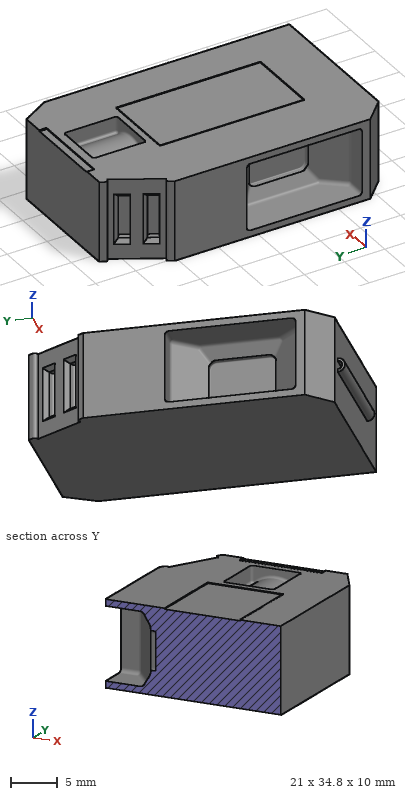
import cadquery as cq
import math

width = 21.0
thickness = 10.0
total_length = 34.8
rib_outer_radius = 0.8
length = total_length - rib_outer_radius
top_z = thickness / 2

front_chamfer = 2.6
slope_angle = math.radians(30)
left_slope_width = 4.05
right_slope_width = 2.0
left_slope_length = left_slope_width / math.sin(slope_angle)

blend = 0.3

lip_width = 0.9
panel_depth = 0.52

slot_starts = (1.55, 4.7)
slot_length = 1.77
slot_height = 6.25
slot_bevel = 0.5
slot_bevel_angle = 45
slot_depth = 1.22

window_front = 3.62
window_length = 14.4
window_height = 8.35
window_blend = 0.5
window_end_depth = 2.35
window_side_depth = 4.42
window_floor_depth = 5.32
floor_length = 7.38
floor_height = 5.35
floor_corner = 0.8
floor_step = 0.65
floor_blend = 0.1

wheel_diameter = 8.0
wheel_depth = 1.0
wheel_center_x = 11.5
wheel_window_width = 6.02
wheel_window_length = 6.6
wheel_window_back_margin = 1.95

label_depth = 0.1
label_left = 7.05
label_front = 6.58
label_width = 9.0
label_length = 18.0
strip_left = 6.55
strip_width = 9.85
strip_length = 0.9

rib_inner_radius = 0.5
rib_length = 12.98


def make_body():
    outline = [
        (front_chamfer, 0),
        (width, 0),
        (width, length - right_slope_width / math.tan(slope_angle)),
        (width - right_slope_width, length),
        (left_slope_width, length),
        (0, length - left_slope_width / math.tan(slope_angle)),
        (0, front_chamfer),
    ]
    return cq.Workplane("XY").workplane(offset=-top_z).polyline(outline).close().extrude(thickness)


def slope_plane(depth):
    """Plane sunk below the left slope: local x runs down the slope, local y along Z."""
    inward_x = math.cos(slope_angle)
    inward_y = -math.sin(slope_angle)
    return cq.Plane(
        origin=(left_slope_width + depth * inward_x, length + depth * inward_y, 0),
        xDir=(-math.sin(slope_angle), -math.cos(slope_angle), 0),
        normal=(-inward_x, -inward_y, 0),
    )


def sink_panel(body):
    panel_length = left_slope_length - 2 * lip_width
    panel = (
        cq.Workplane(slope_plane(panel_depth))
        .center(left_slope_length / 2, 0)
        .rect(panel_length, thickness)
        .extrude(2 * panel_depth)
    )
    body = body.cut(panel)
    surface = slope_plane(0)
    for along in (lip_width, left_slope_length - lip_width):
        lip_edge = cq.selectors.NearestToPointSelector(surface.toWorldCoords((along, 0, 0)).toTuple())
        body = body.edges(lip_edge).fillet(blend)
    return body


def slope_block(start, end, height, depth, taper=0):
    """Solid reaching into the slope from the panel, between two places along the slope."""
    return (
        cq.Workplane(slope_plane(panel_depth))
        .center((start + end) / 2, 0)
        .rect(end - start, height)
        .extrude(-depth, taper=taper)
    )


def make_slot(start):
    """Slot with bevels at its upper end and both sides; its lower end is a straight wall."""
    end = start + slot_length
    funnel = slope_block(start, end + slot_bevel, slot_height, slot_bevel, taper=slot_bevel_angle)
    funnel = funnel.intersect(slope_block(start, end, slot_height, slot_bevel))

    well_start = start + slot_bevel
    well = slope_block(well_start, end, slot_height - 2 * slot_bevel, slot_depth)
    floor_edge = slope_plane(panel_depth + slot_depth).toWorldCoords((well_start, 0, 0))
    well = well.edges(cq.selectors.NearestToPointSelector(floor_edge.toTuple())).fillet(blend)
    return funnel.union(well)


def make_window():
    """Hopper with straight mouth walls, sloped ends and sides, and a stepped floor."""
    center_y = window_front + window_length / 2
    half_length = window_length / 2
    half_height = window_height / 2
    overrun = 0.17

    end_run_per_depth = (window_length - floor_length) / 2 / (window_floor_depth - window_end_depth)
    side_run_per_depth = (window_height - floor_height) / 2 / (window_floor_depth - window_side_depth)
    tip_depth = window_floor_depth + overrun
    tip_half_length = floor_length / 2 - overrun * end_run_per_depth
    tip_half_height = floor_height / 2 - overrun * side_run_per_depth

    sloped_ends = (
        cq.Workplane("XY")
        .workplane(offset=-half_height)
        .polyline([
            (0, center_y - half_length),
            (window_end_depth, center_y - half_length),
            (tip_depth, center_y - tip_half_length),
            (tip_depth, center_y + tip_half_length),
            (window_end_depth, center_y + half_length),
            (0, center_y + half_length),
        ])
        .close()
        .extrude(window_height)
    )
    sloped_sides = (
        cq.Workplane("XZ")
        .workplane(offset=-(center_y + half_length))
        .polyline([
            (0, -half_height),
            (window_side_depth, -half_height),
            (tip_depth, -tip_half_height),
            (tip_depth, tip_half_height),
            (window_side_depth, half_height),
            (0, half_height),
        ])
        .close()
        .extrude(window_length)
    )
    hopper = sloped_ends.intersect(sloped_sides)
    mouth_and_tip = cq.selectors.StringSyntaxSelector("<X or >X")
    hopper = hopper.edges(cq.selectors.InverseSelector(mouth_and_tip)).fillet(window_blend)
    floor = (
        cq.Workplane("YZ")
        .workplane(offset=window_floor_depth)
        .center(center_y, 0)
        .rect(floor_length, floor_height)
        .extrude(floor_step)
        .edges("|X")
        .fillet(floor_corner)
        .faces(">X")
        .edges()
        .fillet(floor_blend)
    )
    return hopper.union(floor)


def make_wheel_window():
    """Rounded opening whose bottom is the upper part of the wheel."""
    radius = wheel_diameter / 2
    axis_z = top_z - wheel_depth - radius
    back_y = length - wheel_window_back_margin
    opening_height = top_z - axis_z
    block = (
        cq.Workplane("XY", origin=(wheel_center_x, back_y - wheel_window_length / 2, axis_z))
        .rect(wheel_window_width, wheel_window_length)
        .extrude(opening_height)
    )
    wheel = (
        cq.Workplane("XZ", origin=(wheel_center_x, back_y, axis_z))
        .circle(radius)
        .extrude(wheel_window_length)
    )
    return block.cut(wheel).edges("not(>Z)").fillet(blend)


def make_label_recess():
    recess = cq.Workplane("XY").box(label_width, label_length, label_depth, centered=False)
    return recess.translate((label_left, label_front, top_z - label_depth))


def make_strip_recess():
    """Strip along the back edge, with bevelled ends."""
    return (
        cq.Workplane("XZ", origin=(strip_left, length, top_z))
        .polyline([
            (0, 0),
            (strip_width, 0),
            (strip_width - label_depth, -label_depth),
            (label_depth, -label_depth),
        ])
        .close()
        .extrude(strip_length)
    )


def make_rib():
    return (
        cq.Workplane("YZ", origin=((width - rib_length) / 2, 0, 0))
        .moveTo(0, rib_outer_radius)
        .threePointArc((-rib_outer_radius, 0), (0, -rib_outer_radius))
        .lineTo(0, -rib_inner_radius)
        .threePointArc((-rib_inner_radius, 0), (0, rib_inner_radius))
        .close()
        .extrude(rib_length)
    )


result = sink_panel(make_body())
for slot_start in slot_starts:
    result = result.cut(make_slot(slot_start))
result = result.cut(make_window())
result = result.cut(make_wheel_window())
result = result.cut(make_label_recess())
result = result.cut(make_strip_recess())
result = result.union(make_rib())